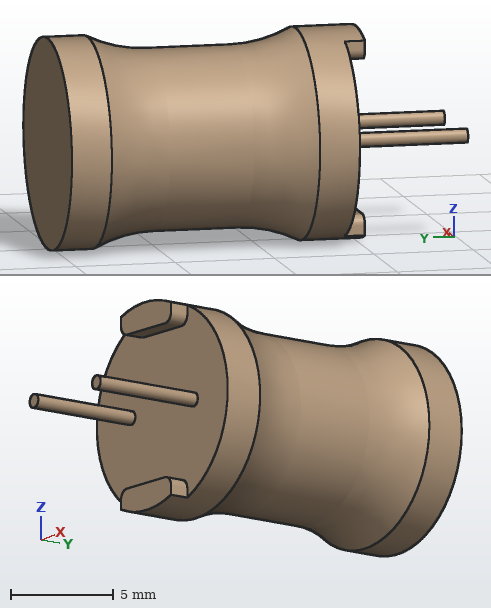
import cadquery as cq
import math

overall_length = 20.5
pin_length = 6.0
body_length = overall_length - pin_length
flange_radius = 10.5 / 2
flange_length = 2.0
waist_radius = 9.0 / 2
waist_length = 4.22

pin_diameter = 0.7
pin_spacing = 5.0

foot_width = 4.02
foot_height = 1.0
foot_inner_offset = 3.87
foot_corner_radius = 0.5

flare_length = (body_length - waist_length) / 2 - flange_length
flare_rise = flange_radius - waist_radius
flare_radius = (flare_length**2 + flare_rise**2) / (2 * flare_rise)


def flare_middle():
    """Return the (radial, axial) position of the arc midpoint, measured from the waist."""
    half_angle = math.asin(flare_length / flare_radius) / 2
    radial = waist_radius + flare_radius * (1 - math.cos(half_angle))
    axial = flare_radius * math.sin(half_angle)
    return radial, axial


def make_body():
    waist_start = flange_length + flare_length
    waist_end = waist_start + waist_length
    middle_radius, middle_offset = flare_middle()
    return (
        cq.Workplane("XY")
        .lineTo(flange_radius, 0)
        .lineTo(flange_radius, flange_length)
        .threePointArc((middle_radius, waist_start - middle_offset), (waist_radius, waist_start))
        .lineTo(waist_radius, waist_end)
        .threePointArc((middle_radius, waist_end + middle_offset),
                       (flange_radius, body_length - flange_length))
        .lineTo(flange_radius, body_length)
        .lineTo(0, body_length)
        .close()
        .revolve(360, (0, 0, 0), (0, 1, 0))
    )


def make_foot(side):
    """Make a foot at the +Z (side = 1) or -Z (side = -1) rim, bounded by the flange circle."""
    block_depth = flange_radius
    block_center = side * (foot_inner_offset + block_depth / 2)
    inner_edges = ">Z" if side < 0 else "<Z"
    block = (
        cq.Workplane("XZ")
        .center(0, block_center)
        .rect(foot_width, block_depth)
        .extrude(foot_height)
        .edges("|Y")
        .edges(inner_edges)
        .fillet(foot_corner_radius)
    )
    rim = cq.Workplane("XZ").circle(flange_radius).extrude(foot_height)
    return block.intersect(rim)


def make_pin(x):
    return cq.Workplane("XZ").center(x, 0).circle(pin_diameter / 2).extrude(pin_length)


result = make_body()
for side in (-1, 1):
    result = result.union(make_foot(side))
    result = result.union(make_pin(side * pin_spacing / 2))